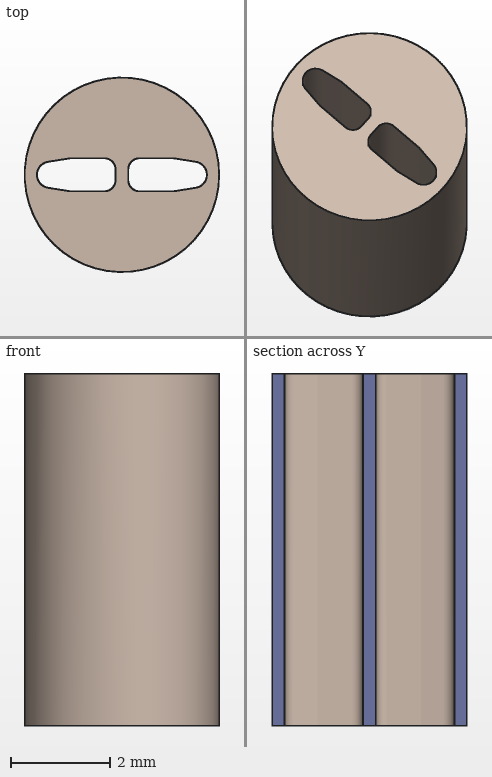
import cadquery as cq
import math

body_diameter = 3.93
body_height = 7.11

web_width = 0.26
slot_width = 0.66
slot_outer_reach = 1.71
taper_start = 1.045
end_radius = 0.26
corner_radius = 0.22


def slot_cutter():
    """Slot on the +X side: parallel walls, then a taper tangent to a round end."""
    inner_x = web_width / 2
    half_width = slot_width / 2
    end_center_x = slot_outer_reach - end_radius

    run = end_center_x - taper_start
    center_distance = math.hypot(run, half_width)
    tangent_angle = math.acos(end_radius / center_distance)
    direction_to_taper = math.atan2(half_width, -run)
    touch_angle = direction_to_taper - tangent_angle
    touch_x = end_center_x + end_radius * math.cos(touch_angle)
    touch_y = end_radius * math.sin(touch_angle)

    cutter = (
        cq.Workplane("XY")
        .moveTo(inner_x, -half_width)
        .lineTo(taper_start, -half_width)
        .lineTo(touch_x, -touch_y)
        .threePointArc((slot_outer_reach, 0), (touch_x, touch_y))
        .lineTo(taper_start, half_width)
        .lineTo(inner_x, half_width)
        .close()
        .extrude(body_height)
    )
    return cutter.faces("<X").edges("|Z").fillet(corner_radius)


body = cq.Workplane("XY").circle(body_diameter / 2).extrude(body_height)
right_slot = slot_cutter()
left_slot = right_slot.mirror("YZ")
result = body.cut(right_slot).cut(left_slot)